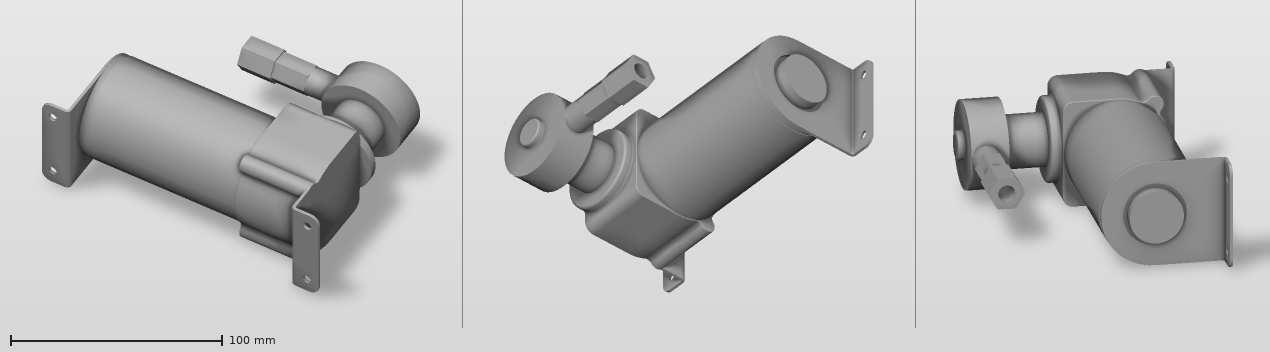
import cadquery as cq
import math

LENGTH = 151.9
HEIGHT = 53.2
FOOT_BOTTOM_Y = -35.1

SHEET = 1.5
BRACKET_HALF_WIDTH = 25.8
RIGHT_PLATE_TOP_Y = -20.0
BEND_INNER_RADIUS = 0.8
LEFT_PLATE_INNER_X = 14.9
RIGHT_PLATE_INNER_X = 136.7
FOOT_CORNER_RADIUS = 5.0
FOOT_HOLE_DIAMETER = 4.4
FOOT_HOLE_OFFSET = 9.0
FOOT_HOLE_Z = 18.2
PLATE_HOLE_RADIUS = 15.3

END_BOSS_START_X = 8.4
END_BOSS_RADIUS = 13.0
MOTOR_START_X = 17.6
MOTOR_RADIUS = 26.0
END_CAP_RADIUS = 25.7

HOUSING_START_X = 100.7
HOUSING_END_X = RIGHT_PLATE_INNER_X + SHEET
HOUSING_HALF = 26.5
HOUSING_CORNER_RADIUS = 5.0
HOUSING_FRONT_ROUND = 0.5
EAR_RADIUS = 4.4
EAR_Y = -17.9
EAR_Z = HEIGHT / 2 - EAR_RADIUS
EAR_BLEND_RADIUS = 3.0

PUMP_X = 123.8
FLANGE_RADIUS = 20.8
FLANGE_TOP_Y = 31.5
FLANGE_ROUND = 1.4
FLANGE_BLEND = 1.2
COLUMN_RADIUS = 13.0
HEAD_RADIUS = 21.7
HEAD_BOTTOM_Y = 52.0
HEAD_TOP_Y = 70.3
CAP_RADIUS = 7.1
CAP_TOP_Y = 73.7
CAP_ROUND = 0.9
CAP_BLEND = 0.8

FITTING_Y = 63.0
NUT_START_X = 54.5
COUPLING_START_X = 72.6
TUBE_START_X = 90.7
NUT_ACROSS_CORNERS = 17.9
COUPLING_ACROSS_CORNERS = 16.1
TUBE_RADIUS = 7.1
BORE_RADIUS = 4.1


def plane_at_x(x, y=0):
    """Sketch plane facing +X, with local x along Y and local y along Z."""
    return cq.Workplane("YZ", origin=(x, y, 0))


def rod_x(radius, start, end, y=0):
    return plane_at_x(start, y).circle(radius).extrude(end - start)


def rod_y(radius, start, end):
    plane = cq.Plane(origin=(PUMP_X, start, 0), xDir=(1, 0, 0), normal=(0, 1, 0))
    return cq.Workplane(plane).circle(radius).extrude(end - start)


def bracket(inner_x, tip_x, top_y):
    """Upright plate reaching up to top_y, with a foot bent outward, towards tip_x."""
    outward = math.copysign(1, tip_x - inner_x)
    outer_x = inner_x + outward * SHEET
    foot_top = FOOT_BOTTOM_Y + SHEET

    bent_sheet = (
        cq.Workplane("XY")
        .moveTo(inner_x, top_y)
        .lineTo(inner_x, FOOT_BOTTOM_Y)
        .lineTo(tip_x, FOOT_BOTTOM_Y)
        .lineTo(tip_x, foot_top)
        .lineTo(outer_x, foot_top)
        .lineTo(outer_x, top_y)
        .close()
        .extrude(BRACKET_HALF_WIDTH, both=True)
    )
    bend_point = (inner_x, FOOT_BOTTOM_Y, 0)
    bent_sheet = bent_sheet.edges("|Z").edges(cq.NearestToPointSelector(bend_point))
    bent_sheet = bent_sheet.fillet(BEND_INNER_RADIUS + SHEET)
    bent_sheet = bent_sheet.edges("|Z").edges(cq.NearestToPointSelector((outer_x, foot_top, 0)))
    bent_sheet = bent_sheet.fillet(BEND_INNER_RADIUS)
    tip_side = ">X" if outward > 0 else "<X"
    bent_sheet = bent_sheet.faces(tip_side).edges("|Y").fillet(FOOT_CORNER_RADIUS)

    hole_x = inner_x + outward * FOOT_HOLE_OFFSET
    foot_holes = (
        cq.Workplane("XZ", origin=(0, foot_top, 0))
        .pushPoints([(hole_x, -FOOT_HOLE_Z), (hole_x, FOOT_HOLE_Z)])
        .circle(FOOT_HOLE_DIAMETER / 2)
        .extrude(SHEET)
    )
    return bent_sheet.cut(foot_holes)


def motor():
    end_cap = rod_x(END_CAP_RADIUS, LEFT_PLATE_INNER_X, MOTOR_START_X)
    end_boss = rod_x(END_BOSS_RADIUS, END_BOSS_START_X, MOTOR_START_X)
    barrel = rod_x(MOTOR_RADIUS, MOTOR_START_X, HOUSING_END_X)
    return barrel.union(end_cap).union(end_boss)


def housing():
    """Square on the pump side, round on the foot side, with two blended screw ears."""
    length = HOUSING_END_X - HOUSING_START_X
    body = (
        plane_at_x(HOUSING_START_X)
        .moveTo(0, HOUSING_HALF)
        .lineTo(HOUSING_HALF, HOUSING_HALF)
        .lineTo(HOUSING_HALF, -HOUSING_HALF)
        .lineTo(0, -HOUSING_HALF)
        .threePointArc((-HOUSING_HALF, 0), (0, HOUSING_HALF))
        .close()
        .extrude(length)
    )
    body = body.edges("|X and >Y").fillet(HOUSING_CORNER_RADIUS)

    for side in (-1, 1):
        ear = plane_at_x(HOUSING_START_X).center(EAR_Y, side * EAR_Z).circle(EAR_RADIUS).extrude(length)
        body = body.union(ear)

    ear_distance = math.hypot(EAR_Y, EAR_Z)
    ear_angle = math.atan2(EAR_Z, EAR_Y)
    half_angle = math.acos(
        (HOUSING_HALF**2 + ear_distance**2 - EAR_RADIUS**2) / (2 * HOUSING_HALF * ear_distance)
    )
    middle_x = (HOUSING_START_X + HOUSING_END_X) / 2
    for side in (-1, 1):
        for angle in (ear_angle - half_angle, ear_angle + half_angle):
            corner = (middle_x, HOUSING_HALF * math.cos(angle), side * HOUSING_HALF * math.sin(angle))
            body = body.edges("|X").edges(cq.NearestToPointSelector(corner)).fillet(EAR_BLEND_RADIUS)

    return body.faces("<X").edges().fillet(HOUSING_FRONT_ROUND)


def blend_ring(radius, base_y, blend):
    """Solid of revolution with a concave rim, blending a disc of this radius into the face at base_y."""
    return (
        cq.Workplane("XY", origin=(PUMP_X, base_y, 0))
        .moveTo(0, -blend)
        .lineTo(radius + blend, -blend)
        .lineTo(radius + blend, 0)
        .radiusArc((radius, blend), blend)
        .lineTo(0, blend)
        .close()
        .revolve(360, (0, 0, 0), (0, 1, 0))
    )


def flange_blend():
    """Blend from the flange to the housing, trimmed at the housing end."""
    beyond_housing = plane_at_x(HOUSING_END_X).rect(LENGTH, LENGTH).extrude(LENGTH)
    return blend_ring(FLANGE_RADIUS, HOUSING_HALF, FLANGE_BLEND).cut(beyond_housing)


def pump():
    flange = rod_y(FLANGE_RADIUS, HOUSING_HALF, FLANGE_TOP_Y).faces(">Y").edges().fillet(FLANGE_ROUND)
    column = rod_y(COLUMN_RADIUS, HOUSING_HALF, HEAD_BOTTOM_Y)
    head = rod_y(HEAD_RADIUS, HEAD_BOTTOM_Y, HEAD_TOP_Y)
    cap = rod_y(CAP_RADIUS, HEAD_TOP_Y, CAP_TOP_Y).faces(">Y").edges().fillet(CAP_ROUND)
    cap_blend = blend_ring(CAP_RADIUS, HEAD_TOP_Y, CAP_BLEND)
    return flange.union(flange_blend()).union(column).union(head).union(cap).union(cap_blend)


def outlet_fitting():
    nut_length = COUPLING_START_X - NUT_START_X
    coupling_length = TUBE_START_X - COUPLING_START_X
    nut = plane_at_x(NUT_START_X, FITTING_Y).polygon(6, NUT_ACROSS_CORNERS).extrude(nut_length)
    coupling = (
        plane_at_x(COUPLING_START_X, FITTING_Y)
        .polygon(6, COUPLING_ACROSS_CORNERS)
        .extrude(coupling_length)
    )
    tube = rod_x(TUBE_RADIUS, TUBE_START_X, PUMP_X, FITTING_Y)
    bore = rod_x(BORE_RADIUS, NUT_START_X, COUPLING_START_X, FITTING_Y)
    return nut.cut(bore).union(coupling).union(tube)


def left_bracket():
    """Full-height bracket: a round end above the motor axis and a clearance hole around the end boss."""
    straight_part = bracket(LEFT_PLATE_INNER_X, 0, 0)
    round_end = rod_x(BRACKET_HALF_WIDTH, LEFT_PLATE_INNER_X - SHEET, LEFT_PLATE_INNER_X)
    clearance = rod_x(PLATE_HOLE_RADIUS, 0, LEFT_PLATE_INNER_X)
    return straight_part.union(round_end).cut(clearance)


def right_bracket():
    """Short bracket set flush into the end of the gearbox housing."""
    return bracket(RIGHT_PLATE_INNER_X, LENGTH, RIGHT_PLATE_TOP_Y)


result = (
    motor()
    .union(left_bracket())
    .union(right_bracket())
    .union(housing())
    .union(pump())
    .union(outlet_fitting())
)